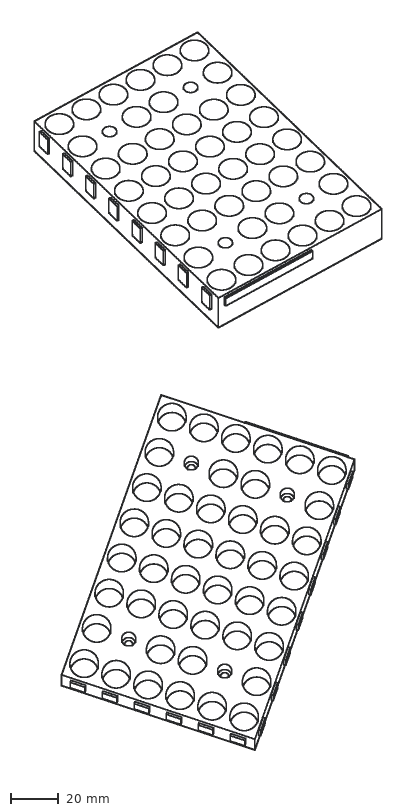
import cadquery as cq

overall_length = 129.8
overall_width = 86.4
height = 18.0
label_relief = 0.9

block_length = overall_length - 2 * label_relief
block_width = overall_width - label_relief

columns = 8
rows = 6
column_pitch = 16.1
row_pitch = 14.1
well_diameter = 12.0
well_floor = 3.0

screw_columns = (1, columns - 2)
screw_rows = (1, rows - 2)
screw_diameter = 3.4
screw_head_diameter = 6.0
screw_head_depth = 9.0

label_height = 8.8
column_label_width = 5.7
column_label_z = 11.8
row_label_width = 6.5
row_label_z = 9.6
title_length = 45.4
title_height = 4.5
title_y = -16.9
title_z = 14.3


def column_x(column):
    return (column - (columns - 1) / 2) * column_pitch


def row_y(row):
    return (row - (rows - 1) / 2) * row_pitch


def is_screw_position(column, row):
    return column in screw_columns and row in screw_rows


def grid_points(for_screws):
    return [
        (column_x(column), row_y(row))
        for column in range(columns)
        for row in range(rows)
        if is_screw_position(column, row) == for_screws
    ]


def make_block():
    block = cq.Workplane("XY").box(block_length, block_width, height, centered=(True, True, False))
    top = block.faces(">Z").workplane(origin=(0, 0, height))
    block = top.pushPoints(grid_points(for_screws=False)).hole(well_diameter, height - well_floor)
    top = block.faces(">Z").workplane(origin=(0, 0, height))
    return top.pushPoints(grid_points(for_screws=True)).cboreHole(
        screw_diameter, screw_head_diameter, screw_head_depth
    )


def label_pad(width_x, width_y, pad_height, centre):
    """Pad centred on a side face, so that half its thickness stands proud."""
    return cq.Workplane("XY").box(width_x, width_y, pad_height).translate(centre)


def add_labels(body):
    thickness = 2 * label_relief
    for column in range(columns):
        centre = (column_x(column), -block_width / 2, column_label_z)
        body = body.union(label_pad(column_label_width, thickness, label_height, centre))
    for row in range(rows):
        centre = (-block_length / 2, row_y(row), row_label_z)
        body = body.union(label_pad(thickness, row_label_width, label_height, centre))
    title_centre = (block_length / 2, title_y, title_z)
    return body.union(label_pad(thickness, title_length, title_height, title_centre))


result = add_labels(make_block())